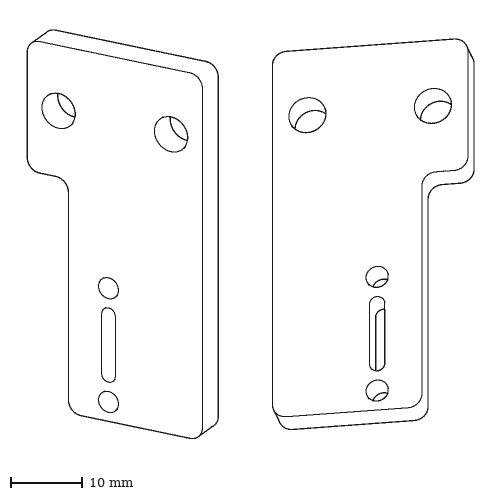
import cadquery as cq

width = 28.0
thickness = 4.75
height = 55.75
head_height = 20.05
notch_width = 6.6
corner_radius = 2.0

mount_diameter = 5.3
mount_edge_offset = 5.0
mount_top_offset = 10.0

slot_x = 13.0
slot_z = 11.65
slot_length = 11.3
slot_width = 2.2
small_diameter = 3.2
small_hole_spacing = 17.35


def plate():
    """L-shaped plate with every upright corner rounded, front face at Y = 0."""
    head_bottom = height - head_height
    outline = [
        (notch_width, 0),
        (width, 0),
        (width, height),
        (0, height),
        (0, head_bottom),
        (notch_width, head_bottom),
    ]
    blank = cq.Workplane("XZ").polyline(outline).close().extrude(-thickness)
    return blank.edges("|Y").fillet(corner_radius)


def through_holes(centers, diameter):
    """Cylinders running through the full plate thickness."""
    return cq.Workplane("XZ").pushPoints(centers).circle(diameter / 2).extrude(-thickness)


def through_slot():
    """Upright round-ended slot running through the full plate thickness."""
    return (
        cq.Workplane("XZ")
        .center(slot_x, slot_z)
        .slot2D(slot_length, slot_width, 90)
        .extrude(-thickness)
    )


mount_z = height - mount_top_offset
mount_centers = [(x, mount_z) for x in (mount_edge_offset, width - mount_edge_offset)]
small_centers = [(slot_x, slot_z + side * small_hole_spacing / 2) for side in (-1, 1)]

result = (
    plate()
    .cut(through_holes(mount_centers, mount_diameter))
    .cut(through_holes(small_centers, small_diameter))
    .cut(through_slot())
)